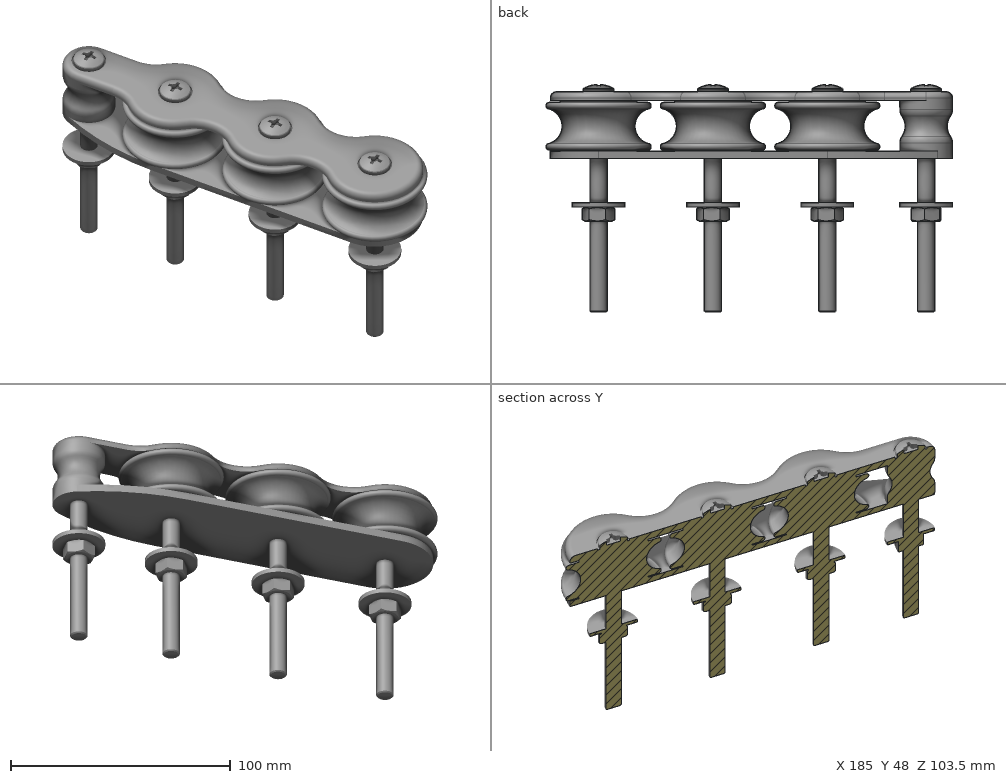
import cadquery as cq
import math

overall_length = 185.0
post_diameter = 24.0
roller_diameter = 48.0
post_radius = post_diameter / 2
roller_radius = roller_diameter / 2
post_x = post_radius
first_roller_x = post_x + 45.0
last_roller_x = overall_length - roller_radius
roller_pitch = (last_roller_x - first_roller_x) / 2
roller_xs = [first_roller_x + i * roller_pitch for i in range(3)]

plate_lobe_radius = 22.0
base_thickness = 3.5
cover_bottom_z = 26.5
cover_thickness = 4.0
cover_top_z = cover_bottom_z + cover_thickness
cover_edge_round = 3.0

mid_z = 14.8
rim_outer_z = 11.0
rim_thickness = 3.1
rim_inner_z = rim_outer_z - rim_thickness
roller_waist_radius = 16.6
collar_diameter = 35.0
post_waist_radius = 9.6
post_flank_z = 4.6
post_shoulder_z = 7.5

bolt_diameter = 8.0
bolt_end_z = -69.7
bolt_end_chamfer = 0.5
head_diameter = 14.0
head_rim_diameter = 13.5
head_recess_diameter = 15.7
head_recess_depth = 1.0
recess_floor_z = cover_top_z - head_recess_depth
head_side_top_z = 31.6
head_rim_z = 32.0
head_top_z = 33.9
cross_length = 6.8
cross_width = 1.7
cross_core = 3.5
cross_depth = 3.0
washer_diameter = 24.0
washer_top_z = -20.0
washer_thickness = 2.0
nut_flats = 13.0
nut_height = 6.5
nut_face_diameter = 12.2
nut_chamfer_angle = 30
post_nut_turn = 25
roller_nut_turn = -5


def disc(x, bottom_z, diameter, height):
    """Upright cylinder centred on the row of bolts."""
    return cq.Workplane("XY", origin=(x, 0, bottom_z)).circle(diameter / 2).extrude(height)


def turned(profile, x):
    """Turn a closed profile (radius, height) about the vertical axis at x."""
    return profile.close().revolve(360, (0, 0), (0, 1)).translate((x, 0, 0))


def base_plate():
    """Flat plate whose sides sweep in from the roller width to the post."""
    reach = first_roller_x - post_x
    sweep_radius = (reach**2 + plate_lobe_radius**2 - post_radius**2) / (
        2 * (plate_lobe_radius - post_radius)
    )
    start_angle = math.atan2(sweep_radius - plate_lobe_radius, -reach)
    mid_angle = (start_angle + math.pi / 2) / 2
    sweep_center_y = plate_lobe_radius - sweep_radius
    tangent = (
        post_x + post_radius * math.cos(start_angle),
        post_radius * math.sin(start_angle),
    )
    sweep_mid = (
        first_roller_x + sweep_radius * math.cos(mid_angle),
        sweep_center_y + sweep_radius * math.sin(mid_angle),
    )
    return (
        cq.Workplane("XY")
        .moveTo(*tangent)
        .threePointArc(sweep_mid, (first_roller_x, plate_lobe_radius))
        .lineTo(last_roller_x, plate_lobe_radius)
        .threePointArc((last_roller_x + plate_lobe_radius, 0), (last_roller_x, -plate_lobe_radius))
        .lineTo(first_roller_x, -plate_lobe_radius)
        .threePointArc((sweep_mid[0], -sweep_mid[1]), (tangent[0], -tangent[1]))
        .threePointArc((post_x - post_radius, 0), tangent)
        .close()
        .extrude(base_thickness)
    )


def cover_plate():
    """Scalloped plate: a round lobe over each roller, necking to the post width."""
    half_pitch = roller_pitch / 2
    waist_radius = (half_pitch**2 + post_radius**2 - plate_lobe_radius**2) / (
        2 * (plate_lobe_radius - post_radius)
    )
    waist_center_y = post_radius + waist_radius
    lobe_share = plate_lobe_radius / (plate_lobe_radius + waist_radius)
    touch_dx = lobe_share * half_pitch
    touch_y = lobe_share * waist_center_y
    half_angle = math.atan2(half_pitch, waist_center_y) / 2
    lead_mid_dx = waist_radius * math.sin(half_angle)
    lead_mid_y = waist_center_y - waist_radius * math.cos(half_angle)
    lead_x = first_roller_x - half_pitch

    outline = (
        cq.Workplane("XY", origin=(0, 0, cover_bottom_z))
        .moveTo(post_x, post_radius)
        .lineTo(lead_x, post_radius)
        .threePointArc((lead_x + lead_mid_dx, lead_mid_y), (first_roller_x - touch_dx, touch_y))
    )
    for x in roller_xs[:-1]:
        outline = outline.threePointArc((x, plate_lobe_radius), (x + touch_dx, touch_y))
        outline = outline.threePointArc(
            (x + half_pitch, post_radius), (x + roller_pitch - touch_dx, touch_y)
        )
    outline = outline.threePointArc(
        (last_roller_x + plate_lobe_radius, 0), (last_roller_x - touch_dx, -touch_y)
    )
    for x in reversed(roller_xs[:-1]):
        outline = outline.threePointArc((x + half_pitch, -post_radius), (x + touch_dx, -touch_y))
        outline = outline.threePointArc((x, -plate_lobe_radius), (x - touch_dx, -touch_y))
    outline = (
        outline.threePointArc((lead_x + lead_mid_dx, -lead_mid_y), (lead_x, -post_radius))
        .lineTo(post_x, -post_radius)
        .threePointArc((post_x - post_radius, 0), (post_x, post_radius))
        .close()
    )
    return outline.extrude(cover_thickness).faces(">Z").edges().fillet(cover_edge_round)


def roller(x):
    """Grooved wheel with rounded rims, held between the plates by a collar on each side."""
    rim_round = rim_thickness / 2
    rim_flat = roller_radius - rim_round
    rim_mid_z = rim_outer_z - rim_round
    profile = (
        cq.Workplane("XZ")
        .moveTo(0, mid_z - rim_outer_z)
        .lineTo(rim_flat, mid_z - rim_outer_z)
        .threePointArc((roller_radius, mid_z - rim_mid_z), (rim_flat, mid_z - rim_inner_z))
        .threePointArc((roller_waist_radius, mid_z), (rim_flat, mid_z + rim_inner_z))
        .threePointArc((roller_radius, mid_z + rim_mid_z), (rim_flat, mid_z + rim_outer_z))
        .lineTo(0, mid_z + rim_outer_z)
    )
    wheel_bottom_z = mid_z - rim_outer_z
    wheel_top_z = mid_z + rim_outer_z
    lower_collar = disc(x, base_thickness, collar_diameter, wheel_bottom_z - base_thickness)
    upper_collar = disc(x, wheel_top_z, collar_diameter, cover_bottom_z - wheel_top_z)
    return turned(profile, x).union(lower_collar).union(upper_collar)


def guide_post():
    """Fixed post between the plates, with a waist that blends into straight ends."""
    flank_share = post_flank_z / post_shoulder_z
    flank_radius = post_waist_radius + flank_share * (post_radius - post_waist_radius)
    profile = (
        cq.Workplane("XZ")
        .moveTo(0, base_thickness)
        .lineTo(post_radius, base_thickness)
        .lineTo(post_radius, mid_z - post_shoulder_z)
        .tangentArcPoint((flank_radius, mid_z - post_flank_z), relative=False)
        .threePointArc((post_waist_radius, mid_z), (flank_radius, mid_z + post_flank_z))
        .tangentArcPoint((post_radius, mid_z + post_shoulder_z), relative=False)
        .lineTo(post_radius, cover_bottom_z)
        .lineTo(0, cover_bottom_z)
    )
    return turned(profile, 0).rotate((0, 0, 0), (0, 0, 1), 180).translate((post_x, 0, 0))


def bolt(x):
    """Shank with a chamfered end and a domed cross-slot head."""
    shank = disc(x, bolt_end_z, bolt_diameter, recess_floor_z - bolt_end_z)
    shank = shank.faces("<Z").chamfer(bolt_end_chamfer)

    dome_height = head_top_z - head_rim_z
    rim_radius = head_rim_diameter / 2
    dome_radius = (rim_radius**2 + dome_height**2) / (2 * dome_height)
    dome_mid_radius = rim_radius / 2
    dome_mid_z = head_top_z - dome_radius + math.sqrt(dome_radius**2 - dome_mid_radius**2)
    head_profile = (
        cq.Workplane("XZ")
        .moveTo(0, recess_floor_z)
        .lineTo(head_diameter / 2, recess_floor_z)
        .lineTo(head_diameter / 2, head_side_top_z)
        .lineTo(rim_radius, head_rim_z)
        .threePointArc((dome_mid_radius, dome_mid_z), (0, head_top_z))
    )
    slot_plane = cq.Workplane("XY", origin=(x, 0, head_top_z))
    cross = (
        slot_plane.rect(cross_length, cross_width)
        .extrude(-cross_depth)
        .union(slot_plane.rect(cross_width, cross_length).extrude(-cross_depth))
        .union(slot_plane.transformed(rotate=(0, 0, 45)).rect(cross_core, cross_core).extrude(-cross_depth))
    )
    return turned(head_profile, x).cut(cross).union(shank)


def washer_and_nut(x, nut_turn):
    """Flat washer with a hexagon nut, chamfered on both faces, right below it."""
    nut_top_z = washer_top_z - washer_thickness
    nut_bottom_z = nut_top_z - nut_height
    corner_radius = nut_flats / math.sqrt(3)
    face_radius = nut_face_diameter / 2
    chamfer_height = (corner_radius - face_radius) * math.tan(math.radians(nut_chamfer_angle))
    hexagon = (
        cq.Workplane("XY", origin=(x, 0, nut_bottom_z))
        .transformed(rotate=(0, 0, nut_turn))
        .polygon(6, 2 * corner_radius)
        .extrude(nut_height)
    )
    envelope = (
        cq.Workplane("XZ")
        .moveTo(0, nut_bottom_z)
        .lineTo(face_radius, nut_bottom_z)
        .lineTo(corner_radius, nut_bottom_z + chamfer_height)
        .lineTo(corner_radius, nut_top_z - chamfer_height)
        .lineTo(face_radius, nut_top_z)
        .lineTo(0, nut_top_z)
    )
    nut = hexagon.intersect(turned(envelope, x))
    return nut.union(disc(x, nut_top_z, washer_diameter, washer_thickness))


result = base_plate().union(cover_plate()).union(guide_post())
for x in roller_xs:
    result = result.union(roller(x))

bolt_turns = [(post_x, post_nut_turn)] + [(x, roller_nut_turn) for x in roller_xs]
for x, nut_turn in bolt_turns:
    recess = disc(x, recess_floor_z, head_recess_diameter, head_recess_depth)
    result = result.cut(recess)
    result = result.union(bolt(x))
    result = result.union(washer_and_nut(x, nut_turn))